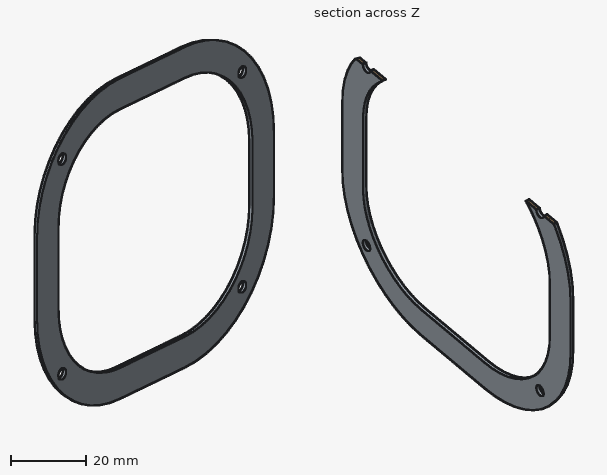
import cadquery as cq

thickness = 1.2
outer_width = 98.8
outer_height = 92.8
outer_radius_plus_y = 37.2
outer_radius_minus_y = 34.3
edge_inset = 0.3

rim_width = 9.0

hole_diameter = 3.2
hole_spacing_y = 75.1
hole_spacing_z = 62.2
hole_shift_y = -1.4


def ring_outline(inset):
    """Rounded outline lying parallel to the outer edge, the given distance inside it."""
    outline = cq.Sketch().rect(outer_width - 2 * inset, outer_height - 2 * inset)
    outline = outline.vertices(">X").fillet(outer_radius_plus_y - inset).reset()
    return outline.vertices("<X").fillet(outer_radius_minus_y - inset).reset()


def tapered_plate():
    """Plate whose outer edge flares evenly from the -X face to the +X face."""
    raised_face = ring_outline(0).moved(cq.Location(cq.Vector(0, 0, thickness)))
    return cq.Workplane("YZ").placeSketch(ring_outline(edge_inset), raised_face).loft()


def opening():
    return cq.Workplane("YZ").placeSketch(ring_outline(rim_width)).extrude(thickness)


def screw_holes():
    return (
        cq.Workplane("YZ")
        .center(hole_shift_y, 0)
        .rect(hole_spacing_y, hole_spacing_z, forConstruction=True)
        .vertices()
        .circle(hole_diameter / 2)
        .extrude(thickness)
    )


result = tapered_plate().cut(opening()).cut(screw_holes())